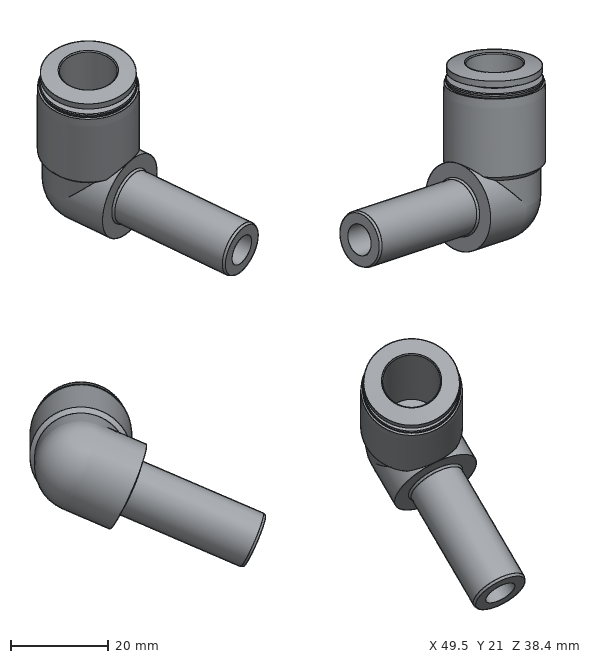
import cadquery as cq

length = 49.5
body_radius = 19.0 / 2
collar_radius = 21.0 / 2
arm_overhang = 0.05
arm_end = collar_radius + arm_overhang
stem_end = length - collar_radius

collar_cone_bottom = 6.55
collar_bottom = 7.55
collar_line = 22.6
collar_top = 24.6
collar_top_radius = 10.4

ring_radius = 20.2 / 2
ring_top = 25.65
ring_chamfer = 0.2
ring_taper_height = 0.5

sleeve_neck_radius = 13.4 / 2
sleeve_flange_radius = 9.85
flange_bottom = 26.95
flange_edge_top = 28.3
sleeve_top = 28.9
neck_flare_height = 0.45
neck_flare = 0.2

stem_radius = 12.0 / 2
stem_chamfer = 0.6
stem_end_radius = 5.75
stem_root_radius = 6.3
stem_root_length = 0.55

tube_bore_radius = 5.95
tube_mouth_radius = 6.2
tube_mouth_depth = 0.25
tube_stop = collar_bottom
flow_radius = 6.8 / 2


def turn_about_z(profile):
    """Revolve (radius, z) points about the Z axis."""
    return cq.Workplane("XZ").polyline(profile).close().revolve(360, (0, 0, 0), (0, 1, 0))


def turn_about_x(profile):
    """Revolve (x, radius) points about the X axis."""
    return cq.Workplane("XZ").polyline(profile).close().revolve(360, (0, 0, 0), (1, 0, 0))


def elbow(radius, x_end, z_end):
    """Two equal round legs joined by a ball at the origin."""
    vertical = cq.Workplane("XY").circle(radius).extrude(z_end)
    horizontal = cq.Workplane("YZ").circle(radius).extrude(x_end)
    return cq.Workplane("XY").sphere(radius).union(vertical).union(horizontal)


def socket():
    """Collar, retaining ring and release sleeve."""
    return turn_about_z([
        (0, collar_cone_bottom),
        (body_radius, collar_cone_bottom),
        (collar_radius, collar_bottom),
        (collar_radius, collar_line),
        (collar_top_radius, collar_top),
        (ring_radius - ring_chamfer, collar_top),
        (ring_radius, collar_top + ring_taper_height),
        (ring_radius, ring_top - ring_chamfer),
        (ring_radius - ring_chamfer, ring_top),
        (sleeve_neck_radius, ring_top),
        (sleeve_neck_radius, flange_bottom - neck_flare_height),
        (sleeve_neck_radius + neck_flare, flange_bottom),
        (sleeve_flange_radius, flange_bottom),
        (sleeve_flange_radius, flange_edge_top),
        (tube_mouth_radius, sleeve_top),
        (0, sleeve_top),
    ])


def stem():
    """Plain stem with a flared root and a tapered end."""
    return turn_about_x([
        (0, 0),
        (0, stem_root_radius),
        (arm_end, stem_root_radius),
        (arm_end + stem_root_length, stem_radius),
        (stem_end - stem_chamfer, stem_radius),
        (stem_end, stem_end_radius),
        (stem_end, 0),
    ])


def tube_bore():
    """Tube seat with a lead-in at the mouth."""
    return turn_about_z([
        (0, tube_stop),
        (tube_bore_radius, tube_stop),
        (tube_bore_radius, sleeve_top - tube_mouth_depth),
        (tube_mouth_radius, sleeve_top),
        (0, sleeve_top),
    ])


body = elbow(body_radius, arm_end, collar_bottom)
body = body.union(socket()).union(stem())
flow_passage = elbow(flow_radius, stem_end, tube_stop)
result = body.cut(tube_bore()).cut(flow_passage)